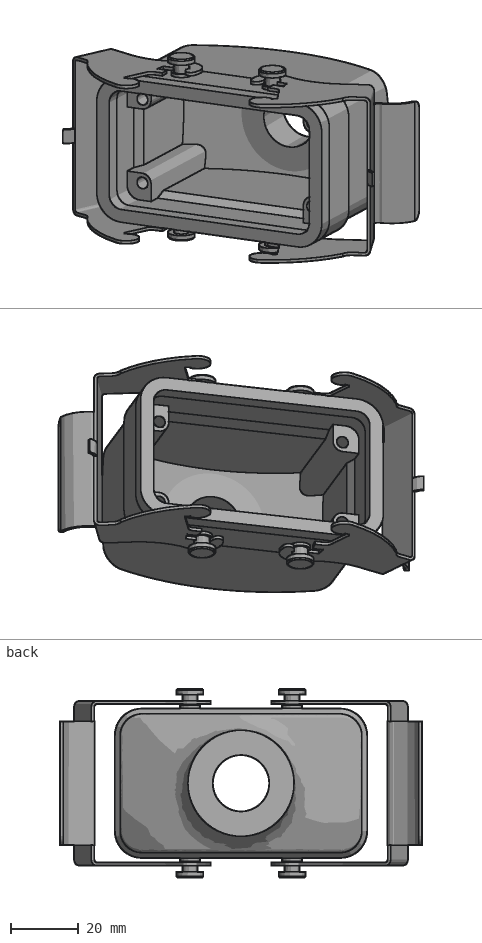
import cadquery as cq
import math


SELECT_MARGIN = 0.5

FLANGE_WIDTH, FLANGE_HEIGHT = 74.3, 44.0
FLANGE_CORNER_R = 8.0
RIM_DEPTH = 5.0
FLANGE_END_Y = 17.6
FLARE_LENGTH = 1.7
FLARE_INSET = 1.6
BODY_WIDTH = FLANGE_WIDTH - 2 * FLARE_INSET
BODY_HEIGHT = FLANGE_HEIGHT - 2 * FLARE_INSET
BODY_CORNER_R = FLANGE_CORNER_R - FLARE_INSET
BODY_START_Y = FLANGE_END_Y + FLARE_LENGTH

DOME_R = 71.4
DOME_CENTER_Y = -14.4
DOME_EDGE_R = 1.5
NECK_R = 31.2 / 2
NECK_END_Y = 64.0
NECK_BLEND_R = 8.1
NECK_BORE_D = 16.5
WALL = 3.7

POCKET_WIDTH, POCKET_HEIGHT = 66.1, 36.2
POCKET_CORNER_R = 4.0
POCKET_STEP_Y = 15.8
POCKET_STEP_LENGTH = 3.9
POCKET_STEP_INSET = 1.4

BOSS_FACE_Y = 11.6
BOSS_INNER_X, BOSS_INNER_Z = 25.2, 9.8
BOSS_CORNER_R = 3.0
SCREW_X, SCREW_Z = 28.0, 12.8
SCREW_D = 3.5

PIN_X, PIN_Y = 15.0, 11.4
PIN_D = 4.5
PIN_COLLAR_D = 6.0
PIN_COLLAR_HEIGHT = 1.0
PIN_HEAD_D = 8.0
PIN_HEAD_HEIGHT = 1.7
PIN_HEAD_CHAMFER = 0.4
PIN_TOP_Z = 55.5 / 2

SHEET = 1.0
LEVER_HALF_HEIGHT = 48.5 / 2
BEND_INNER_R = 0.9
BEND_OUTER_R = BEND_INNER_R + SHEET
WALL_TOP = (-44.0, 20.5)
WALL_BOTTOM = (-49.1, 8.0)
EYE_R = 6.2
PIN_SLOT_R = 2.5
HOOK_CENTER = (-22.5, -9.7)
HOOK_R = 3.8

HANDLE_HALF_HEIGHT = 18.2
TIP_X = -53.3 + SHEET / 2
TIP_TOP_Y = 31.5
TIP_LENGTH = 3.0
TIP_CORNER_R = 2.9
TAB_HALF_HEIGHT = 2.1
TAB_CORNER_R = 0.4
TAB_TIP = (-51.3, 5.8)
TAB_BEND = (-49.7, 6.6)


def facing_back(y):
    """Workplane across the hood axis at height y, extruding toward +Y."""
    return cq.Workplane(cq.Plane(origin=(0, y, 0), xDir=(1, 0, 0), normal=(0, 1, 0)))


def rounded_prism(width, height, corner_r, start_y, length, taper=0):
    """Rounded rectangle extruded along +Y, optionally narrowing."""
    outline = cq.Sketch().rect(width, height).vertices().fillet(corner_r)
    return facing_back(start_y).placeSketch(outline).extrude(length, taper=taper)


def height_on_dome(dome_r, distance):
    """Y on a dome of a given radius at a distance from the hood axis."""
    return DOME_CENTER_Y + math.sqrt(dome_r**2 - distance**2)


def ball(radius):
    """Sphere about the dome center, with its poles on the hood axis."""
    half_disk = (
        cq.Workplane("XY")
        .moveTo(0, DOME_CENTER_Y - radius)
        .threePointArc((radius, DOME_CENTER_Y), (0, DOME_CENTER_Y + radius))
        .close()
    )
    return half_disk.revolve(360, (0, 0, 0), (0, 1, 0))


def shell_outside():
    """Flange, flare and body under a spherical dome, with the neck blended in."""
    flange = rounded_prism(
        FLANGE_WIDTH, FLANGE_HEIGHT, FLANGE_CORNER_R, RIM_DEPTH, FLANGE_END_Y - RIM_DEPTH
    )
    flare_angle = math.degrees(math.atan2(FLARE_INSET, FLARE_LENGTH))
    flare = rounded_prism(
        FLANGE_WIDTH, FLANGE_HEIGHT, FLANGE_CORNER_R, FLANGE_END_Y, FLARE_LENGTH, flare_angle
    )
    body = rounded_prism(
        BODY_WIDTH, BODY_HEIGHT, BODY_CORNER_R, BODY_START_Y, NECK_END_Y - BODY_START_Y
    )
    dome_border = cq.selectors.BoxSelector(
        (-BODY_WIDTH, FLANGE_END_Y + BODY_HEIGHT / 2, -BODY_HEIGHT),
        (BODY_WIDTH, height_on_dome(DOME_R, NECK_R), BODY_HEIGHT),
    )
    body = body.intersect(ball(DOME_R)).edges(dome_border).fillet(DOME_EDGE_R)
    neck = facing_back(BODY_START_Y).circle(NECK_R).extrude(NECK_END_Y - BODY_START_Y)
    neck_root_y = height_on_dome(DOME_R, NECK_R)
    neck_root = cq.selectors.BoxSelector(
        (-NECK_R, neck_root_y - SELECT_MARGIN, -NECK_R),
        (NECK_R, neck_root_y + SELECT_MARGIN, NECK_R),
    )
    body = body.union(neck).edges(neck_root).fillet(NECK_BLEND_R)
    return flange.union(flare).union(body)


def cavity():
    """Stepped pocket closed by an inner dome that ends in a flat ring."""
    mouth = rounded_prism(
        POCKET_WIDTH, POCKET_HEIGHT, POCKET_CORNER_R, RIM_DEPTH, POCKET_STEP_Y - RIM_DEPTH
    )
    step_angle = math.degrees(math.atan2(POCKET_STEP_INSET, POCKET_STEP_LENGTH))
    step = rounded_prism(
        POCKET_WIDTH, POCKET_HEIGHT, POCKET_CORNER_R, POCKET_STEP_Y, POCKET_STEP_LENGTH, step_angle
    )
    inner_start_y = POCKET_STEP_Y + POCKET_STEP_LENGTH
    ceiling_r = DOME_R - WALL
    ceiling_y = height_on_dome(ceiling_r, NECK_R)
    inner = rounded_prism(
        POCKET_WIDTH - 2 * POCKET_STEP_INSET,
        POCKET_HEIGHT - 2 * POCKET_STEP_INSET,
        POCKET_CORNER_R - POCKET_STEP_INSET,
        inner_start_y,
        ceiling_y - inner_start_y,
    )
    return mouth.union(step).union(inner.intersect(ball(ceiling_r)))


def screw_bosses():
    """Four corner posts, each with a screw hole that runs back to the dome."""
    width = BODY_WIDTH / 2 - BOSS_INNER_X
    height = BODY_HEIGHT / 2 - BOSS_INNER_Z
    length = NECK_END_Y - BOSS_FACE_Y
    bosses = cq.Workplane()
    for side_x in (-1, 1):
        for side_z in (-1, 1):
            post = (
                cq.Workplane("XY")
                .box(width, length, height, centered=(True, False, True))
                .edges("|Y and <X and <Z")
                .fillet(BOSS_CORNER_R)
                .translate((BOSS_INNER_X + width / 2, BOSS_FACE_Y, BOSS_INNER_Z + height / 2))
            )
            hole = (
                facing_back(BOSS_FACE_Y)
                .center(SCREW_X, -SCREW_Z)
                .circle(SCREW_D / 2)
                .extrude(length)
            )
            post = post.cut(hole)
            if side_x < 0:
                post = post.mirror("YZ")
            if side_z < 0:
                post = post.mirror("XY")
            bosses.add(post)
    return bosses.combine()


def pivot_pin():
    """Collar, shank and chamfered head standing on the top flange face at X = PIN_X."""
    base_z = FLANGE_HEIGHT / 2
    foot = cq.Workplane("XY", origin=(PIN_X, PIN_Y, base_z))
    head = (
        cq.Workplane("XY", origin=(PIN_X, PIN_Y, PIN_TOP_Z - PIN_HEAD_HEIGHT))
        .circle(PIN_HEAD_D / 2)
        .extrude(PIN_HEAD_HEIGHT)
        .faces(">Z")
        .chamfer(PIN_HEAD_CHAMFER)
    )
    collar = foot.circle(PIN_COLLAR_D / 2).extrude(PIN_COLLAR_HEIGHT)
    shank = foot.circle(PIN_D / 2).extrude(PIN_TOP_Z - PIN_HEAD_HEIGHT - base_z)
    return collar.union(shank).union(head)


def make_hood():
    """Hollow shell with its screw bosses, cable bore and four pivot pins."""
    hollow = cavity().cut(screw_bosses())
    bore = facing_back(RIM_DEPTH).circle(NECK_BORE_D / 2).extrude(NECK_END_Y - RIM_DEPTH)
    hood = shell_outside().cut(hollow).cut(bore)
    for pin in (pivot_pin(), pivot_pin().mirror("YZ")):
        hood = hood.union(pin).union(pin.mirror("XY"))
    return hood


def make_rim():
    """Frame that carries the hood walls on to the open front."""
    outside = rounded_prism(FLANGE_WIDTH, FLANGE_HEIGHT, FLANGE_CORNER_R, 0, RIM_DEPTH)
    return outside.cut(rounded_prism(POCKET_WIDTH, POCKET_HEIGHT, POCKET_CORNER_R, 0, RIM_DEPTH))


def on_circle(center, radius, degrees):
    """Point on a circle at an angle from the +X direction."""
    angle = math.radians(degrees)
    return (center[0] + radius * math.cos(angle), center[1] + radius * math.sin(angle))


def lever_plate(half_height):
    """Side outline of the left lever, extruded over the full lever height."""
    pin = (-PIN_X, PIN_Y)
    return (
        cq.Workplane("XY")
        .workplane(offset=-half_height)
        .moveTo(*WALL_BOTTOM)
        .lineTo(*WALL_TOP)
        .lineTo(-36.7, 17.7)
        .threePointArc((-28.8, 15.5), (-20.6, 16.0))
        .lineTo(*on_circle(pin, EYE_R, 98))
        .threePointArc(on_circle(pin, EYE_R, 40), on_circle(pin, EYE_R, -18))
        .threePointArc((-10.4, 7.7), (-12.4, 8.6))
        .lineTo(*on_circle(pin, PIN_SLOT_R, -30))
        .threePointArc(on_circle(pin, PIN_SLOT_R, 90), on_circle(pin, PIN_SLOT_R, 208))
        .lineTo(-20.4, 10.2)
        .lineTo(-20.8, 7.0)
        .lineTo(-17.6, 7.0)
        .lineTo(-17.4, 3.7)
        .lineTo(-19.9, 3.7)
        .threePointArc((-21.3, 3.2), (-22.1, 1.9))
        .lineTo(-24.9, -4.9)
        .threePointArc((-24.8, -6.2), (-23.8, -6.3))
        .lineTo(*on_circle(HOOK_CENTER, HOOK_R, 105))
        .threePointArc(on_circle(HOOK_CENTER, HOOK_R, 0), on_circle(HOOK_CENTER, HOOK_R, 240))
        .threePointArc((-35.8, -5.2), (-42.2, 3.6))
        .threePointArc((-43.0, 5.3), (-44.1, 6.2))
        .close()
        .extrude(2 * half_height)
    )


def lever_frame():
    """Channel of bent sheet: two side plates joined by the outer wall."""
    run_x = WALL_TOP[0] - WALL_BOTTOM[0]
    run_y = WALL_TOP[1] - WALL_BOTTOM[1]
    wall_length = math.hypot(run_x, run_y)
    middle = ((WALL_TOP[0] + WALL_BOTTOM[0]) / 2, (WALL_TOP[1] + WALL_BOTTOM[1]) / 2, 0)
    along_wall = cq.selectors.ParallelDirSelector(cq.Vector(run_x, run_y, 0))
    outer_bends = cq.selectors.BoxSelector(
        (WALL_BOTTOM[0], WALL_BOTTOM[1], -2 * LEVER_HALF_HEIGHT),
        (WALL_TOP[0], WALL_TOP[1], 2 * LEVER_HALF_HEIGHT),
    )
    plate = lever_plate(LEVER_HALF_HEIGHT).edges(along_wall).edges(outer_bends).fillet(BEND_OUTER_R)
    reach = 4 * wall_length
    gap = (
        cq.Workplane("XY")
        .box(reach, reach, 2 * (LEVER_HALF_HEIGHT - SHEET), centered=(False, True, True))
        .edges("|Y and <X")
        .fillet(BEND_INNER_R)
        .translate((SHEET, 0, 0))
        .rotate((0, 0, 0), (0, 0, 1), -math.degrees(math.atan2(run_x, run_y)))
        .translate(middle)
    )
    return plate.cut(gap)


def sheet_strip(path, tip, direction, half_height, corner_r):
    """Sheet swept along a path that leaves the tip in a direction, with the tip corners rounded."""
    start = cq.Plane(origin=(*tip, 0), xDir=(0, 0, 1), normal=(*direction, 0))
    strip = cq.Workplane(start).rect(2 * half_height, SHEET).sweep(path, transition="right")
    tip_face = cq.NearestToPointSelector((*tip, 0))
    return strip.faces(tip_face).edges("not |Z").fillet(corner_r)


def wall_middle(corner):
    """Mid-thickness point of the outer wall at one of its ends."""
    run_x = WALL_TOP[0] - WALL_BOTTOM[0]
    run_y = WALL_TOP[1] - WALL_BOTTOM[1]
    half_sheet = SHEET / 2 / math.hypot(run_x, run_y)
    return (corner[0] + run_y * half_sheet, corner[1] - run_x * half_sheet)


def lever_handle():
    """Curled grip that continues the outer wall upward."""
    tip = (TIP_X, TIP_TOP_Y)
    path = (
        cq.Workplane("XY")
        .moveTo(*tip)
        .lineTo(TIP_X, TIP_TOP_Y - TIP_LENGTH)
        .threePointArc((-49.8, 24.5), (-45.1, 22.6))
        .threePointArc((-43.7, 21.9), wall_middle(WALL_TOP))
    )
    return sheet_strip(path, tip, (0, -1), HANDLE_HALF_HEIGHT, TIP_CORNER_R)


def lever_tab():
    """Narrow tongue bent outward from the lower end of the outer wall."""
    root = wall_middle(WALL_BOTTOM)
    path = cq.Workplane("XY").moveTo(*TAB_TIP).threePointArc(TAB_BEND, root)
    direction = path.val().tangentAt(0).toTuple()[:2]
    return sheet_strip(path, TAB_TIP, direction, TAB_HALF_HEIGHT, TAB_CORNER_R)


def make_lever():
    """Left lever: frame, handle and tab in one piece."""
    return lever_frame().union(lever_handle()).union(lever_tab())


hood = make_hood()
rim = make_rim()
left_lever = make_lever()
levers = [left_lever, left_lever.mirror("YZ")]

result = cq.Compound.makeCompound([hood.val(), rim.val(), *[lever.val() for lever in levers]])